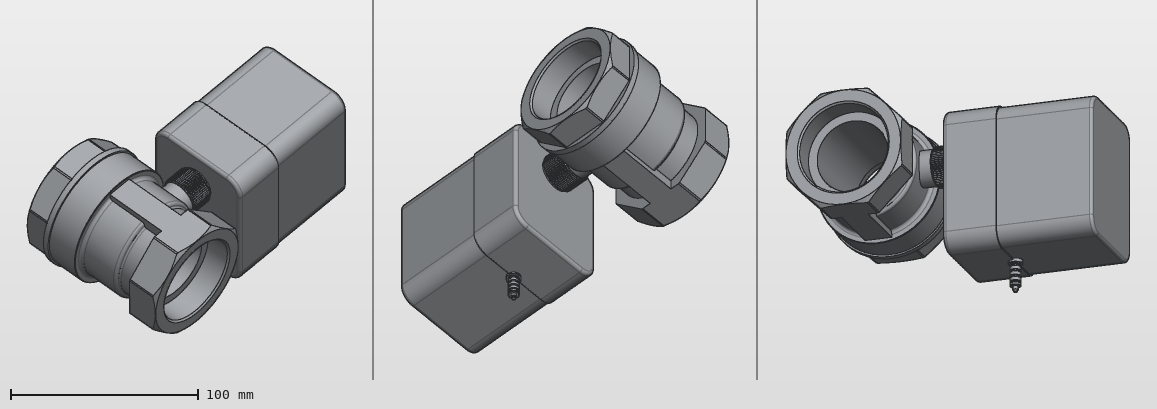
import cadquery as cq
import math


valve_half_length = 46.5
flange_start = -31.5
flange_end = -28.0
barrel_end = -9.5
collar_rounding_start = 13.7
hex_start = 27.9

flange_radius = 36.0
barrel_radius = 34.97
collar_radius = 30.0
neck_radius = 27.0
barrel_chamfer = 0.3
collar_root_fillet = 2.0
collar_end_fillet = 1.9
wrench_sides = 8
wrench_half_flats = 32.5
wrench_corner_radius = barrel_radius
wrench_chamfer_length = 1.9
wrench_face_radius = 32.3
rib_width = 15.0

bore_radius = 20.0
socket_radius = 25.0
socket_depth = 15.0
socket_chamfer = 1.0

stem_radius = 10.0
nut_start = 36.3
nut_end = 49.5
nut_radius = 11.2
nut_chamfer = 0.9
knurl_count = 60
knurl_depth = 0.5

overall_length = 171.0
base_front = 50.5
base_back = 80.7
cover_back = overall_length - flange_radius
base_half_width = 31.1
base_top = 21.5
base_bottom = -59.0
base_corner_radius = 10.0
base_edge_fillet = 2.0
cover_inset = 0.9
cover_edge_fillet = 1.7

cable_y = base_back
outlet_radius = 4.02
outlet_bottom = -60.0
sleeve_radius = 3.0
sleeve_bottom = -72.8
sleeve_chamfer = 0.3
groove_count = 4
groove_pitch = 3.13
groove_width = 1.11
groove_radius = 2.0
first_groove_top = -60.7
cable_radius = 1.5
cable_bottom = -74.7
core_radius = 1.0
core_bottom = -75.84


def x_cylinder(radius, start, end):
    return cq.Workplane("YZ").workplane(offset=start).circle(radius).extrude(end - start)


def y_cylinder(radius, start, end):
    return cq.Workplane("XZ").workplane(offset=-end).circle(radius).extrude(end - start)


def cable_cylinder(radius, top, bottom):
    return cq.Workplane("XY", origin=(0, cable_y, bottom)).circle(radius).extrude(top - bottom)


def wrench_end(inner_x):
    """Octagon from inner_x out to the +X end, with rounded corners and a coned outer rim."""
    circumscribed = 2 * wrench_half_flats / math.cos(math.pi / wrench_sides)
    octagon = (
        cq.Workplane("YZ")
        .workplane(offset=inner_x)
        .transformed(rotate=(0, 0, 180 / wrench_sides))
        .polygon(wrench_sides, circumscribed)
        .extrude(valve_half_length - inner_x)
    )
    envelope = (
        cq.Workplane("XY")
        .moveTo(inner_x, 0)
        .lineTo(inner_x, wrench_corner_radius)
        .lineTo(valve_half_length - wrench_chamfer_length, wrench_corner_radius)
        .lineTo(valve_half_length, wrench_face_radius)
        .lineTo(valve_half_length, 0)
        .close()
        .revolve(360, (0, 0, 0), (1, 0, 0))
    )
    return octagon.intersect(envelope)


def collar_and_neck():
    """Collar with a concave root against the barrel and an S-curved step down to the neck."""
    root = collar_root_fillet
    rounding = collar_end_fillet
    collar_end = collar_rounding_start + rounding
    neck_root = collar_radius - rounding - neck_radius
    return (
        cq.Workplane("XY")
        .moveTo(barrel_end, 0)
        .lineTo(barrel_end, collar_radius + root)
        .radiusArc((barrel_end + root, collar_radius), -root)
        .lineTo(collar_rounding_start, collar_radius)
        .radiusArc((collar_end, collar_radius - rounding), rounding)
        .radiusArc((collar_end + neck_root, neck_radius), -neck_root)
        .lineTo(hex_start, neck_radius)
        .lineTo(hex_start, 0)
        .close()
        .revolve(360, (0, 0, 0), (1, 0, 0))
    )


def ribs():
    """Flat-topped ribs above and below the collar, flush with the wrench flats."""
    length = hex_start - barrel_end
    return cq.Workplane("XY").box(length, rib_width, 2 * wrench_half_flats).translate(
        (barrel_end + length / 2, 0, 0)
    )


def socket():
    """Socket cut at the +X end, with a chamfered mouth."""
    mouth_radius = socket_radius + socket_chamfer
    return (
        cq.Workplane("XY")
        .moveTo(valve_half_length - socket_depth, 0)
        .lineTo(valve_half_length - socket_depth, socket_radius)
        .lineTo(valve_half_length - socket_chamfer, socket_radius)
        .lineTo(valve_half_length, mouth_radius)
        .lineTo(valve_half_length, 0)
        .close()
        .revolve(360, (0, 0, 0), (1, 0, 0))
    )


def make_valve():
    barrel = x_cylinder(barrel_radius, flange_start, barrel_end).faces(">X").chamfer(barrel_chamfer)
    flange = x_cylinder(flange_radius, flange_start, flange_end)
    stem = y_cylinder(stem_radius, 0, nut_start)
    body = barrel.union(flange).union(collar_and_neck()).union(ribs()).union(stem)
    body = body.union(wrench_end(hex_start))
    body = body.union(wrench_end(-flange_start).mirror("YZ"))
    body = body.cut(x_cylinder(bore_radius, -valve_half_length, valve_half_length))
    return body.cut(socket()).cut(socket().mirror("YZ"))


def rounded_box(inset, front, back):
    """Block along Y with rounded long edges, inset evenly from the base outline."""
    height = base_top - base_bottom - 2 * inset
    block = cq.Workplane("XY").box(2 * (base_half_width - inset), back - front, height)
    block = block.edges("|Y").fillet(base_corner_radius - inset)
    return block.translate((0, (front + back) / 2, (base_top + base_bottom) / 2))


def union_nut():
    """Union nut with V-shaped knurl teeth around its rim."""
    rim = []
    for tooth in range(knurl_count):
        for half_step, radius in ((0, nut_radius), (0.5, nut_radius - knurl_depth)):
            angle = 2 * math.pi * (tooth + half_step) / knurl_count
            rim.append((radius * math.cos(angle), radius * math.sin(angle)))
    toothed = cq.Workplane("XZ").workplane(offset=-nut_end).polyline(rim).close()
    toothed = toothed.extrude(nut_end - nut_start)
    return toothed.intersect(y_cylinder(nut_radius, nut_start, nut_end).edges().chamfer(nut_chamfer))


def sleeve_groove(top):
    """One ring groove of the cable sleeve."""
    ring = cable_cylinder(sleeve_radius, top, top - groove_width)
    return ring.cut(cable_cylinder(groove_radius, top, top - groove_width))


def cable_outlet():
    """Outlet plate, grooved sleeve, cable and bare core, all hanging below the box."""
    inside_box = base_bottom + base_corner_radius
    outlet = cable_cylinder(outlet_radius, inside_box, outlet_bottom)
    sleeve = cable_cylinder(sleeve_radius, outlet_bottom, sleeve_bottom)
    sleeve = sleeve.faces("<Z").chamfer(sleeve_chamfer)
    for index in range(groove_count):
        sleeve = sleeve.cut(sleeve_groove(first_groove_top - index * groove_pitch))
    cable = cable_cylinder(cable_radius, sleeve_bottom, cable_bottom)
    core = cable_cylinder(core_radius, cable_bottom, core_bottom)
    return outlet.union(sleeve).union(cable).union(core)


def make_actuator():
    base = rounded_box(0, base_front, base_back).faces("<Y").edges().fillet(base_edge_fillet)
    cover = rounded_box(cover_inset, base_back, cover_back).faces(">Y").edges().fillet(cover_edge_fillet)
    spigot = y_cylinder(stem_radius, nut_end, base_front)
    return base.union(cover).union(cable_outlet()).union(spigot).union(union_nut())


valve = make_valve()
actuator = make_actuator()
result = cq.Compound.makeCompound([valve.val(), actuator.val()])